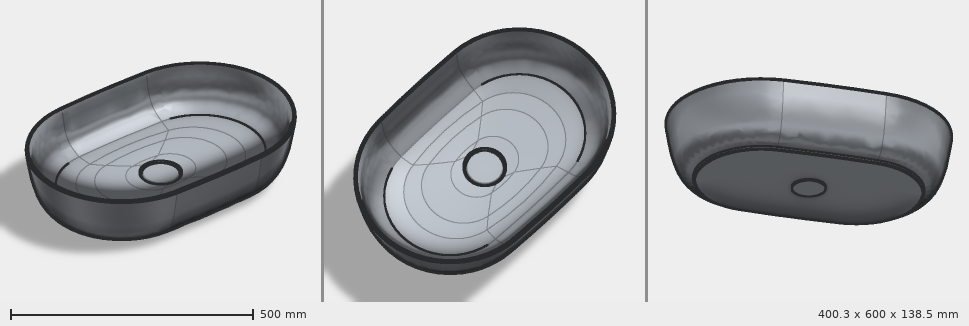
import cadquery as cq
import math


BASIN_LENGTH = 600.0
END_RADIUS = 198.0
END_CENTER = BASIN_LENGTH / 2 - END_RADIUS
SIDE_ANGLE = math.radians(2.4)
FLOOR_SIDE_ANGLE = math.radians(10)

RIM_CHAMFER = 1.0
RIM_BAND_HEIGHT = 3.5
FOOT_INSET = 61.0
FOOT_TOP_DEPTH = 132.0
FOOT_DEPTH = 135.0

OUTER_WALL = [
    (RIM_BAND_HEIGHT, 0.0),
    (36.0, 5.5),
    (68.5, 12.0),
    (97.0, 22.0),
    (115.0, 33.5),
    (128.5, 57.0),
]

INNER_WALL = [
    (0.0, 5.5),
    (39.0, 14.5),
    (66.0, 26.5),
    (80.5, 43.0),
    (89.5, 62.0),
]

FLOOR = [
    (94.0, 116.0, 192.5),
    (96.5, 92.5, 149.5),
    (99.0, 55.0, 77.5),
]

RECESS_DIAMETER = 81.0
RECESS_CHAMFER = 3.5
RECESS_EDGE_DEPTH = 100.0
CAP_DIAMETER = 80.0
CAP_EDGE_RADIUS = 3.0
CAP_TOP_DEPTH = 101.5
CAP_THICKNESS = 6.0
CAP_BOTTOM_DEPTH = CAP_TOP_DEPTH + CAP_THICKNESS
DRAIN_DIAMETER = 70.0
DRAIN_BOTTOM_DEPTH = 138.5


def oval(depth, end_radius, end_center, side_angle):
    """Closed wire of two end arcs, centered at Y = +-end_center, and two tangent side arcs."""
    half_width = end_radius + end_center * math.tan(side_angle / 2)
    half_length = end_radius + end_center
    joint_x = end_radius * math.cos(side_angle)
    joint_y = end_center + end_radius * math.sin(side_angle)
    outline = (
        cq.Workplane("XY", origin=(0, 0, -depth))
        .moveTo(joint_x, -joint_y)
        .threePointArc((half_width, 0), (joint_x, joint_y))
        .threePointArc((0, half_length), (-joint_x, joint_y))
        .threePointArc((-half_width, 0), (-joint_x, -joint_y))
        .threePointArc((0, -half_length), (joint_x, -joint_y))
        .close()
    )
    return outline.val()


def inset_oval(depth, inset):
    """Rim outline moved inward by the inset."""
    return oval(depth, END_RADIUS - inset, END_CENTER, SIDE_ANGLE)


def floor_oval(depth, half_width, half_length):
    """Floor oval with the given half sizes."""
    end_center = (half_length - half_width) / (1 - math.tan(FLOOR_SIDE_ANGLE / 2))
    return oval(depth, half_length - end_center, end_center, FLOOR_SIDE_ANGLE)


def cylinder(diameter, top_depth, bottom_depth):
    """Upright cylinder on the Z axis."""
    height = bottom_depth - top_depth
    return cq.Workplane("XY", origin=(0, 0, -bottom_depth)).circle(diameter / 2).extrude(height)


def make_outer_form():
    """Basin without its bowl: rim band, curved wall, taper to the foot, and foot."""
    wall_bottom = OUTER_WALL[-1]
    rim_band = cq.Solid.makeLoft([inset_oval(0, RIM_CHAMFER), inset_oval(*OUTER_WALL[0])], True)
    wall = cq.Solid.makeLoft([inset_oval(*level) for level in OUTER_WALL])
    foot_top = inset_oval(FOOT_TOP_DEPTH, FOOT_INSET)
    foot_bottom = inset_oval(FOOT_DEPTH, FOOT_INSET)
    foot = cq.Solid.makeLoft([inset_oval(*wall_bottom), foot_top, foot_bottom], True)
    return cq.Workplane(obj=wall).union(cq.Workplane(obj=rim_band)).union(cq.Workplane(obj=foot))


def make_bowl():
    """Hollow of the basin, from the rim to the edge of the drain recess."""
    recess_edge_radius = RECESS_DIAMETER / 2 + RECESS_CHAMFER
    wall = cq.Solid.makeLoft([inset_oval(*level) for level in INNER_WALL])
    floor_sections = [inset_oval(*INNER_WALL[-1])]
    floor_sections += [floor_oval(*level) for level in FLOOR]
    floor_sections.append(floor_oval(RECESS_EDGE_DEPTH, recess_edge_radius, recess_edge_radius))
    floor = cq.Solid.makeLoft(floor_sections, True)
    return cq.Workplane(obj=wall).union(cq.Workplane(obj=floor))


def make_recess():
    """Round recess for the cap, with a chamfered edge."""
    radius = RECESS_DIAMETER / 2
    edge_radius = radius + RECESS_CHAMFER
    return (
        cq.Workplane("XZ")
        .moveTo(0, -RECESS_EDGE_DEPTH)
        .lineTo(edge_radius, -RECESS_EDGE_DEPTH)
        .lineTo(radius, -RECESS_EDGE_DEPTH - RECESS_CHAMFER)
        .lineTo(radius, -CAP_BOTTOM_DEPTH)
        .lineTo(0, -CAP_BOTTOM_DEPTH)
        .close()
        .revolve(360, (0, 0), (0, 1))
    )


def make_basin():
    drain_bore = cylinder(DRAIN_DIAMETER, CAP_BOTTOM_DEPTH, FOOT_DEPTH)
    return make_outer_form().cut(make_bowl()).cut(make_recess()).cut(drain_bore)


def make_cap():
    cap = cylinder(CAP_DIAMETER, CAP_TOP_DEPTH, CAP_BOTTOM_DEPTH)
    return cap.faces(">Z").edges().fillet(CAP_EDGE_RADIUS)


def make_drain():
    return cylinder(DRAIN_DIAMETER, CAP_BOTTOM_DEPTH, DRAIN_BOTTOM_DEPTH)


basin = make_basin()
cap = make_cap()
drain = make_drain()

result = cq.Compound.makeCompound([basin.val(), cap.val(), drain.val()])